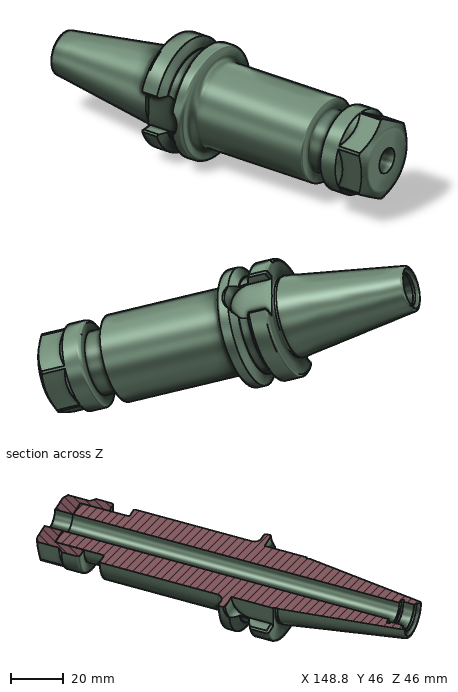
import cadquery as cq
import math


gauge_diameter = 31.75
taper_length = 48.4
taper_ratio = 7 / 24
tail_diameter = gauge_diameter - taper_ratio * taper_length
taper_overrun = 0.4
relief_diameter = 31.5
relief_entry_radius = 1.0
relief_radius = 0.6

flange_diameter = 46.0
flange_front = 2.0
flange_rear = 22.0
flange_front_radius = 1.0
flange_rear_radius = 1.25
groove_diameter = 37.4
groove_centre = 13.4
groove_mouth_width = 8.1
groove_root_width = 3.6
groove_flank_angle = 30.0

slot_half_width = 7.8
slot_end = 19.05
slot_floor = 16.3
slot_chamfer = 0.9
slot_end_chamfer = 0.6

body_diameter = 34.0
body_end = 73.0
body_root_radius = 2.8
body_end_radius = 0.5
neck_diameter = 25.0
neck_root_radius = 0.5
neck_depth_in_nut = 12.0

nut_start = 81.1
nut_end = 100.4
nut_diameter = body_diameter
nut_rear_radius = 1.2
nut_collar_end = 88.4
hexagon_across_flats = 30.0
nut_face_diameter = 25.6
nut_face_angle = 30.0
nut_face_radius = 3.0

lip_diameter = 15.71
mouth_diameter = 13.1
mouth_length = 0.9
pilot_diameter = 12.5
pilot_end_depth = 6.5
undercut_diameter = 14.5
undercut_width = 1.2
through_diameter = 10.11


def revolve_about_x(profile):
    return profile.close().revolve(360, (0, 0, 0), (1, 0, 0))


def make_holder_blank():
    flange_radius = flange_diameter / 2
    groove_radius = groove_diameter / 2
    body_radius = body_diameter / 2
    neck_radius = neck_diameter / 2
    flank_depth = (groove_mouth_width - groove_root_width) / 2 / math.tan(math.radians(groove_flank_angle))
    flank_root_radius = flange_radius - flank_depth
    mouth_front = groove_centre - groove_mouth_width / 2
    mouth_rear = groove_centre + groove_mouth_width / 2
    root_front = groove_centre - groove_root_width / 2
    root_rear = groove_centre + groove_root_width / 2
    tail_slope = math.atan(taper_ratio / 2)
    tail_radius = tail_diameter / 2
    tail_setback = tail_radius - lip_diameter / 2
    lip_outer_radius = tail_setback / math.tan((math.pi / 2 - tail_slope) / 2)
    tail_tangent = (
        -taper_length + tail_setback * math.cos(tail_slope),
        tail_radius + tail_setback * math.sin(tail_slope),
    )
    taper_end_radius = (gauge_diameter + taper_ratio * taper_overrun) / 2
    relief_step = taper_end_radius - relief_diameter / 2
    relief_start = taper_overrun + math.sqrt(relief_entry_radius**2 - (relief_entry_radius - relief_step) ** 2)
    profile = (
        cq.Workplane("XY")
        .moveTo(-taper_length, 0)
        .lineTo(-taper_length, lip_diameter / 2)
        .radiusArc(tail_tangent, lip_outer_radius)
        .lineTo(taper_overrun, taper_end_radius)
        .radiusArc((relief_start, relief_diameter / 2), -relief_entry_radius)
        .lineTo(flange_front - relief_radius, relief_diameter / 2)
        .radiusArc((flange_front, relief_diameter / 2 + relief_radius), -relief_radius)
        .lineTo(flange_front, flange_radius - flange_front_radius)
        .radiusArc((flange_front + flange_front_radius, flange_radius), flange_front_radius)
        .lineTo(mouth_front, flange_radius)
        .lineTo(root_front, flank_root_radius)
        .lineTo(root_front, groove_radius)
        .lineTo(root_rear, groove_radius)
        .lineTo(root_rear, flank_root_radius)
        .lineTo(mouth_rear, flange_radius)
        .lineTo(flange_rear - flange_rear_radius, flange_radius)
        .radiusArc((flange_rear, flange_radius - flange_rear_radius), flange_rear_radius)
        .lineTo(flange_rear, body_radius + body_root_radius)
        .radiusArc((flange_rear + body_root_radius, body_radius), -body_root_radius)
        .lineTo(body_end - body_end_radius, body_radius)
        .radiusArc((body_end, body_radius - body_end_radius), body_end_radius)
        .lineTo(body_end, neck_radius + neck_root_radius)
        .radiusArc((body_end + neck_root_radius, neck_radius), -neck_root_radius)
        .lineTo(nut_start + neck_depth_in_nut, neck_radius)
        .lineTo(nut_start + neck_depth_in_nut, 0)
    )
    return revolve_about_x(profile)


def make_holder_bore():
    lip_inner_radius = (lip_diameter - mouth_diameter) / 2
    lip_end = -taper_length + lip_inner_radius
    mouth_end = lip_end + mouth_length
    pilot_end = -taper_length + pilot_end_depth
    undercut_end = pilot_end + undercut_width
    profile = (
        cq.Workplane("XY")
        .moveTo(-taper_length, 0)
        .lineTo(-taper_length, lip_diameter / 2)
        .radiusArc((lip_end, mouth_diameter / 2), lip_inner_radius)
        .lineTo(mouth_end, mouth_diameter / 2)
        .lineTo(mouth_end, pilot_diameter / 2)
        .lineTo(pilot_end, pilot_diameter / 2)
        .lineTo(pilot_end, undercut_diameter / 2)
        .lineTo(undercut_end, undercut_diameter / 2)
        .lineTo(undercut_end, through_diameter / 2)
        .lineTo(nut_end, through_diameter / 2)
        .lineTo(nut_end, 0)
    )
    return revolve_about_x(profile)


def chamfer_slot_walls(holder, side):
    """Bevel both straight walls where they meet the flange front and the flange rim."""
    groove_mouth_front = groove_centre - groove_mouth_width / 2
    margin = slot_chamfer / 2
    for end in (1, -1):
        wall = end * slot_half_width
        wall_edges = cq.selectors.BoxSelector(
            (flange_front - margin, side * (slot_floor + margin), wall - margin),
            (groove_mouth_front, side * flange_diameter / 2, wall + margin),
        )
        holder = holder.edges(wall_edges).chamfer(slot_chamfer)
    return holder


def cut_drive_slot(holder, side):
    """Cut the round-ended slot on the side of the flange at +Y (1) or -Y (-1)."""
    rim_radius = flange_diameter / 2
    end_centre = slot_end - slot_half_width
    cutter = (
        cq.Workplane("XZ", origin=(0, side * slot_floor, 0))
        .moveTo(0, -slot_half_width)
        .lineTo(end_centre, -slot_half_width)
        .threePointArc((slot_end, 0), (end_centre, slot_half_width))
        .lineTo(0, slot_half_width)
        .close()
        .extrude(-side * (rim_radius - slot_floor))
    )
    end_countersink = cq.Solid.makeCone(
        slot_half_width,
        slot_half_width + slot_end_chamfer,
        slot_end_chamfer,
        pnt=cq.Vector(end_centre, side * (rim_radius - slot_end_chamfer), 0),
        dir=cq.Vector(0, side, 0),
    )
    holder = chamfer_slot_walls(holder.cut(cutter), side)
    return holder.cut(cq.Workplane(end_countersink))


def make_holder():
    holder = make_holder_blank().cut(make_holder_bore())
    for side in (1, -1):
        holder = cut_drive_slot(holder, side)
    return holder


def make_nut():
    outer_radius = nut_diameter / 2
    flat_radius = hexagon_across_flats / 2
    face_radius = nut_face_diameter / 2
    cone_length = (outer_radius - face_radius) * math.tan(math.radians(nut_face_angle))
    envelope_profile = (
        cq.Workplane("XY")
        .moveTo(nut_start, 0)
        .lineTo(nut_start, outer_radius - nut_rear_radius)
        .radiusArc((nut_start + nut_rear_radius, outer_radius), nut_rear_radius)
        .lineTo(nut_end - cone_length, outer_radius)
        .lineTo(nut_end, face_radius)
        .lineTo(nut_end, 0)
    )
    envelope = revolve_about_x(envelope_profile)
    envelope = envelope.faces(">X").edges().fillet(nut_face_radius)

    collar_cone_end = nut_collar_end + outer_radius - flat_radius
    collar_profile = (
        cq.Workplane("XY")
        .moveTo(nut_start, 0)
        .lineTo(nut_start, outer_radius)
        .lineTo(nut_collar_end, outer_radius)
        .lineTo(collar_cone_end, flat_radius)
        .lineTo(collar_cone_end, 0)
    )
    hexagon = (
        cq.Workplane("YZ", origin=(nut_start, 0, 0))
        .polygon(6, hexagon_across_flats, circumscribed=True)
        .extrude(nut_end - nut_start)
    )
    nut = revolve_about_x(collar_profile).union(hexagon).intersect(envelope)

    neck_recess = (
        cq.Workplane("YZ", origin=(nut_start, 0, 0)).circle(neck_diameter / 2).extrude(neck_depth_in_nut)
    )
    through_hole = (
        cq.Workplane("YZ", origin=(nut_start, 0, 0))
        .circle(through_diameter / 2)
        .extrude(nut_end - nut_start)
    )
    return nut.cut(neck_recess).cut(through_hole)


holder = make_holder()
nut = make_nut()

result = cq.Compound.makeCompound([holder.val(), nut.val()])